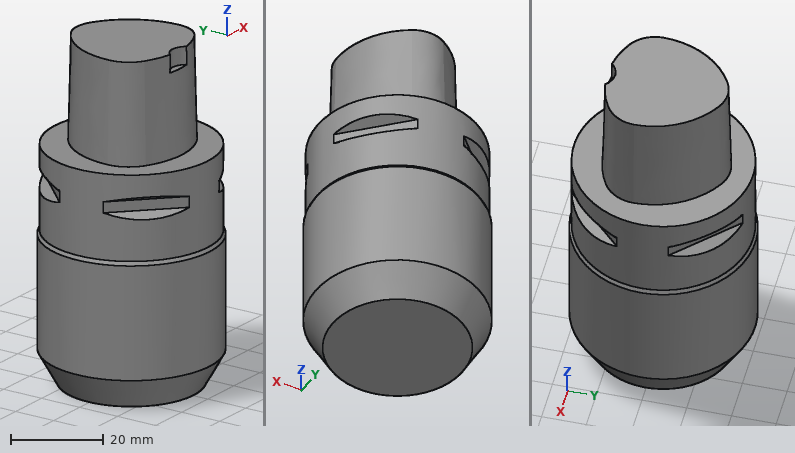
import cadquery as cq
import math

total_height = 79.0
shoulder_z = 55.0
body_top_z = 35.0

body_radius = 41.0 / 2
collar_radius = 40.0 / 2
nose_radius = 16.3
nose_height = 7.6
body_bevel_height = 0.9

groove_count = 4
groove_center_z = 47.2
groove_floor_height = 2.5
groove_mouth_height = 5.2
groove_floor_chord = 18.95

shank_height = total_height - shoulder_z
shank_top_reduction = 0.59
lobe_center_radius = 6.6
lobe_arc_radius = 8.3

notch_depth = 4.2
notch_radius = 4.0
notch_inner_y = -10.8


def polar(radius, angle_degrees):
    angle = math.radians(angle_degrees)
    return cq.Vector(radius * math.cos(angle), radius * math.sin(angle))


def make_body():
    """Revolve the nose, main body and collar in one profile."""
    return (
        cq.Workplane("XZ")
        .lineTo(nose_radius, 0)
        .lineTo(body_radius, nose_height)
        .lineTo(body_radius, body_top_z - body_bevel_height)
        .lineTo(collar_radius, body_top_z)
        .lineTo(collar_radius, shoulder_z)
        .lineTo(0, shoulder_z)
        .close()
        .revolve(360, (0, 0, 0), (0, 1, 0))
    )


def make_shank():
    """Constant-width trilobe of six tangent arcs, tapered toward the top."""
    flank_arc_radius = math.sqrt(3) * lobe_center_radius + lobe_arc_radius
    half_angle = 30
    first_center = polar(lobe_center_radius, 90)
    start = first_center + polar(lobe_arc_radius, 90 - half_angle)
    profile = cq.Workplane("XY").workplane(offset=shoulder_z).moveTo(start.x, start.y)
    for lobe_angle in (90, 210, 330):
        center = polar(lobe_center_radius, lobe_angle)
        lobe_tip = center + polar(lobe_arc_radius, lobe_angle)
        lobe_end = center + polar(lobe_arc_radius, lobe_angle + half_angle)
        flank_angle = lobe_angle + 2 * half_angle
        opposite_center = polar(lobe_center_radius, flank_angle + 180)
        flank_middle = opposite_center + polar(flank_arc_radius, flank_angle)
        flank_end = opposite_center + polar(flank_arc_radius, flank_angle + half_angle)
        profile = profile.threePointArc(lobe_tip.toTuple()[:2], lobe_end.toTuple()[:2])
        profile = profile.threePointArc(flank_middle.toTuple()[:2], flank_end.toTuple()[:2])
    taper_angle = math.degrees(math.atan(shank_top_reduction / shank_height))
    return profile.close().extrude(shank_height, taper=taper_angle)


def make_groove():
    """Straight trapezoidal groove across the +X side of the collar."""
    floor_x = math.sqrt(collar_radius**2 - (groove_floor_chord / 2) ** 2)
    flare = (groove_mouth_height - groove_floor_height) / 2
    flare_slope = flare / (collar_radius - floor_x)
    outer_x = body_radius
    floor_half = groove_floor_height / 2
    outer_half = floor_half + flare_slope * (outer_x - floor_x)
    return (
        cq.Workplane("XZ")
        .moveTo(floor_x, groove_center_z - floor_half)
        .lineTo(outer_x, groove_center_z - outer_half)
        .lineTo(outer_x, groove_center_z + outer_half)
        .lineTo(floor_x, groove_center_z + floor_half)
        .close()
        .extrude(body_radius, both=True)
    )


def make_notch():
    """Round-backed notch on the -Y flank of the shank."""
    return (
        cq.Workplane("XY")
        .workplane(offset=total_height - notch_depth)
        .center(0, notch_inner_y - notch_radius)
        .circle(notch_radius)
        .extrude(notch_depth)
    )


result = make_body().union(make_shank()).cut(make_notch())
groove = make_groove()
groove_spacing = 360 / groove_count
for index in range(groove_count):
    angle = (index + 0.5) * groove_spacing
    result = result.cut(groove.rotate((0, 0, 0), (0, 0, 1), angle))